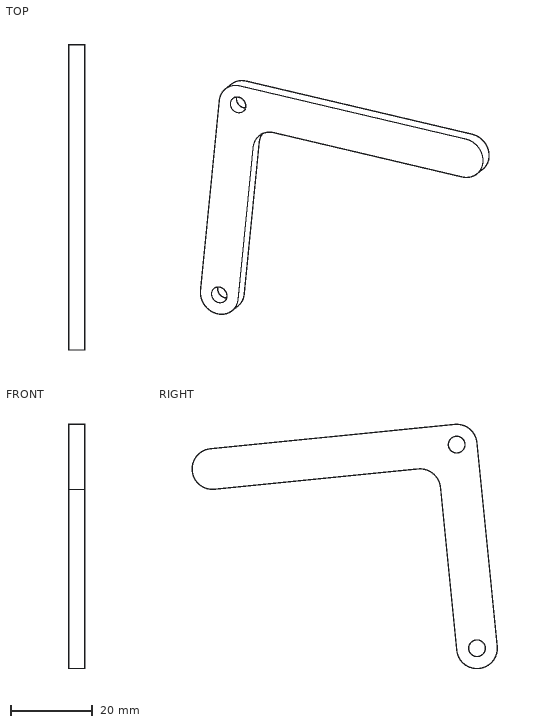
import cadquery as cq
import math

overall_length = 74.6
thickness = 4.0
end_radius = 5.0
inner_fillet_radius = end_radius
hole_diameter = 4.0
short_arm = 50.0
tilt_degrees = 5.7

tilt = math.radians(tilt_degrees)
long_arm = (overall_length - 2 * end_radius - short_arm * math.sin(tilt)) / math.cos(tilt)

elbow = (0, 0)
short_end = (0, -short_arm)


def arm(center, length, angle):
    """Round-ended bar whose end arcs are centred length apart."""
    return (
        cq.Workplane("YZ", origin=(-thickness / 2, 0, 0))
        .center(*center)
        .slot2D(length + 2 * end_radius, 2 * end_radius, angle)
        .extrude(thickness)
    )


lever = arm((-long_arm / 2, 0), long_arm, 0).union(arm((0, -short_arm / 2), short_arm, 90))
inner_corner = cq.selectors.NearestToPointSelector((0, -end_radius, -end_radius))
lever = lever.edges("|X").edges(inner_corner).fillet(inner_fillet_radius)

holes = (
    cq.Workplane("YZ", origin=(-thickness / 2, 0, 0))
    .pushPoints([elbow, short_end])
    .circle(hole_diameter / 2)
    .extrude(thickness)
)
lever = lever.cut(holes)

result = lever.rotate((0, 0, 0), (1, 0, 0), tilt_degrees)